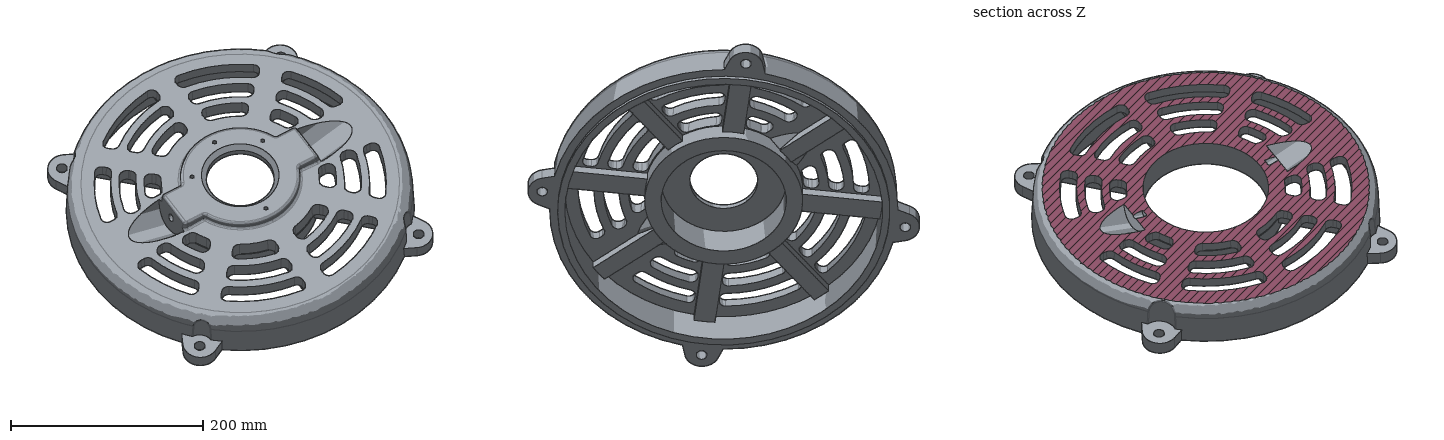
import cadquery as cq
import math

total_height = 64.6
spigot_radius = 172.6
spigot_height = 4.0
base_radius = 181.0
rim_radius = 178.8
rim_height = 49.3
rim_rounding = 15.0
rim_zone = 0.1
cover_slope = 3.9
cover_underside = 39.0
inner_wall_radius = 165.0

boss_radius = 62.2
arm_half_width = 23.0
arm_reach = 100.0
arm_corner_rounding = 3.5
inner_corner_rounding = 3.0
boss_edge_rounding = 3.0
boss_root_rounding = 2.5
end_face_slope = 15.0
cable_hole_diameter = 8.0
cable_hole_depth = 12.0
cable_hole_y = 85.0
cable_hole_z = 52.0

scoop_radius = 25.0
scoop_tilt = 18.0
scoop_tip_y = 135.6
scoop_wall = 5.0

bore_radius = 35.3
bore_chamfer = 5.0
bore_length = 11.4
hub_outer_radius = 82.0
hub_inner_radius = 65.0
hub_bottom = 19.0
rib_bottom = 29.0
axis_rib_half_width = 9.5
diagonal_rib_half_width = 11.0
screw_circle_radius = 50.0
screw_hole_diameter = 4.0
screw_hole_depth = 8.0
screw_angles = (0, 120, 180, 240)

slot_width = 16.2
slot_draft = 3.0
slot_axis_gap = 12.2
slot_diagonal_gap = 12.9
slot_corner_rounding = 6.2
slot_rings = (
    (83.0, 30.2, 6.2),
    (109.0, 25.6, 7.2),
    (135.0, 30.2, 6.2),
)

lug_circle_radius = 190.0
lug_hole_diameter = 11.0
lug_end_centre = 186.5
lug_end_radius = 18.2
lug_flare = 18.0
lug_root = 172.0
lug_top = 18.6
driver_recess_radii = {45: 15.0, 135: 18.0, 225: 14.0, 315: 14.0}
recess_edge_rounding = 1.5


def cover_height(radius):
    """Height of the conical cover at a radius."""
    rise = math.tan(math.radians(cover_slope))
    return rim_height + (rim_radius - radius) * rise


def cylinder(radius, bottom, top):
    return cq.Workplane("XY").workplane(offset=bottom).circle(radius).extrude(top - bottom)


def bar(x0, x1, y0, y1, z0, z1):
    return cq.Workplane("XY").box(x1 - x0, y1 - y0, z1 - z0, centered=False).translate((x0, y0, z0))


def at_angle(shape, angle):
    return shape.rotate((0, 0, 0), (0, 0, 1), angle)


def make_dome():
    dome = (
        cq.Workplane("XZ")
        .polyline([
            (0, 0),
            (spigot_radius, 0),
            (spigot_radius, spigot_height),
            (base_radius, spigot_height),
            (rim_radius, rim_height),
            (0, cover_height(0)),
        ])
        .close()
        .revolve(360, (0, 0, 0), (0, 1, 0))
    )
    rim = cq.selectors.BoxSelector(
        (-base_radius, -base_radius, rim_height - rim_zone),
        (base_radius, base_radius, rim_height + rim_zone),
        boundingbox=True,
    )
    return dome.edges(rim).fillet(rim_rounding)


def make_scoop_cylinder(radius):
    """Tilted cylinder on the +Y side, sinking toward the centre."""
    tilt = math.radians(scoop_tilt)
    axis = cq.Vector(0, math.cos(tilt), math.sin(tilt))
    above_tip = cq.Vector(0, scoop_tip_y, cover_height(scoop_tip_y) + scoop_radius / math.cos(tilt))
    start = above_tip - axis * scoop_tip_y
    return cq.Workplane(cq.Solid.makeCylinder(radius, 2 * scoop_tip_y, start, axis))


def make_scoop():
    """Cutter for one scoop, ending on the arm end face with a rounded edge."""
    cutter = make_scoop_cylinder(scoop_radius).cut(make_arms(2 * scoop_radius, 3 * total_height))
    return cutter.faces("<Y").edges().fillet(boss_root_rounding)


def end_face_y(z):
    """Distance of the sloping arm end face from the XZ plane at a height."""
    return cable_hole_y + (cable_hole_z - z) * math.tan(math.radians(end_face_slope))


def make_arms(half_width, top):
    return (
        cq.Workplane("YZ")
        .polyline([
            (-end_face_y(hub_bottom), hub_bottom),
            (end_face_y(hub_bottom), hub_bottom),
            (end_face_y(top), top),
            (-end_face_y(top), top),
        ])
        .close()
        .extrude(half_width, both=True)
    )


def make_boss():
    """Round boss with its two arms, reaching down into the cover."""
    arms = make_arms(arm_half_width, total_height).edges("not (#Z or |X)").fillet(arm_corner_rounding)
    boss = cylinder(boss_radius, hub_bottom, total_height).union(arms)
    return boss.edges("|Z and (not >X)").fillet(inner_corner_rounding)


def add_boss(dome):
    """Boss standing on the cover, with rounded root and rounded top edge."""
    joined = dome.union(make_boss())
    root_zone = cq.selectors.BoxSelector(
        (-arm_reach, -arm_reach, cover_height(arm_reach)),
        (arm_reach, arm_reach, cover_height(0)),
        boundingbox=True,
    )
    joined = joined.edges(root_zone).fillet(boss_root_rounding)
    return joined.faces(">Z").edges().fillet(boss_edge_rounding)


def cut_scoops(shape):
    scoop = make_scoop()
    return shape.cut(scoop).cut(scoop.mirror("XZ"))


def make_lug():
    """Lug on the +X axis, flaring from its round end toward the wall."""
    flare = math.radians(lug_flare)
    tangent_x = lug_end_centre + lug_end_radius * math.sin(flare)
    tangent_y = lug_end_radius * math.cos(flare)
    root_y = tangent_y + (tangent_x - lug_root) * math.tan(flare)
    return (
        cq.Workplane("XY")
        .workplane(offset=spigot_height)
        .moveTo(lug_root, -root_y)
        .lineTo(tangent_x, -tangent_y)
        .threePointArc((lug_end_centre + lug_end_radius, 0), (tangent_x, tangent_y))
        .lineTo(lug_root, root_y)
        .close()
        .extrude(lug_top - spigot_height)
    )


def cut_driver_recesses(shape):
    """Upright round recesses in the wall over each lug, with rounded edges."""
    for angle, radius in driver_recess_radii.items():
        recess = cylinder(radius, lug_top, total_height).translate((lug_circle_radius, 0, 0))
        shape = shape.cut(at_angle(recess, angle))
        x = lug_circle_radius * math.cos(math.radians(angle))
        y = lug_circle_radius * math.sin(math.radians(angle))
        mouth = cq.selectors.BoxSelector(
            (x - 2 * radius, y - 2 * radius, lug_top + recess_edge_rounding),
            (x + 2 * radius, y + 2 * radius, total_height),
        )
        shape = shape.edges(mouth).fillet(recess_edge_rounding)
    return shape


def add_lugs(shape):
    for angle in driver_recess_radii:
        shape = shape.union(at_angle(make_lug(), angle))
    return shape


def drill_lugs(shape):
    hole = cylinder(lug_hole_diameter / 2, 0, lug_top).translate((lug_circle_radius, 0, 0))
    for angle in driver_recess_radii:
        shape = shape.cut(at_angle(hole, angle))
    return shape


def make_cavity():
    """Hollow below the cover, leaving the hub, the ribs and the scoop walls."""
    cavity = cylinder(inner_wall_radius, 0, cover_underside)
    cavity = cavity.cut(cylinder(hub_outer_radius, hub_bottom, cover_underside))
    for angle in range(0, 180, 45):
        half_width = diagonal_rib_half_width if angle % 90 else axis_rib_half_width
        rib = bar(-base_radius, base_radius, -half_width, half_width, rib_bottom, cover_underside)
        cavity = cavity.cut(at_angle(rib, angle))
    scoop_shell = make_scoop_cylinder(scoop_radius + scoop_wall)
    cavity = cavity.cut(scoop_shell).cut(scoop_shell.mirror("XZ"))
    hub_space = cylinder(hub_inner_radius, 0, total_height - bore_length)
    return cavity.union(hub_space)


def make_slot(inner_radius, first_line, second_line, rounding):
    """Arc slot between two end planes, each given as (angle, gap) from a radial line.

    The slot runs anticlockwise from the first line to the second and widens upward.
    """
    straight = cylinder(inner_radius + slot_width, 0, cover_underside)
    straight = straight.cut(cylinder(inner_radius, 0, cover_underside))
    first_angle, first_gap = first_line
    second_angle, second_gap = second_line
    beyond_first = bar(0, base_radius, first_gap, base_radius, 0, cover_underside)
    before_second = bar(0, base_radius, -base_radius, -second_gap, 0, cover_underside)
    straight = straight.intersect(at_angle(beyond_first, first_angle))
    straight = straight.intersect(at_angle(before_second, second_angle))
    straight = straight.edges("|Z").fillet(rounding)
    drafted = straight.faces(">Z").wires().toPending().extrude(
        total_height - cover_underside, combine=False, taper=-slot_draft
    )
    return straight.union(drafted)


def cut_slots(shape):
    for inner_radius, scoop_gap, scoop_slot_rounding in slot_rings:
        diagonal = (45, slot_diagonal_gap)
        side_slot = make_slot(inner_radius, (0, slot_axis_gap), diagonal, slot_corner_rounding)
        scoop_slot = make_slot(inner_radius, diagonal, (90, scoop_gap), scoop_slot_rounding)
        quarter = side_slot.union(scoop_slot)
        half = quarter.union(quarter.mirror("YZ"))
        shape = shape.cut(half).cut(half.mirror("XZ"))
    return shape


def cut_bore(shape):
    bore = cylinder(bore_radius, hub_bottom, total_height)
    mouth = cq.Workplane(cq.Solid.makeCone(
        bore_radius,
        bore_radius + bore_chamfer,
        bore_chamfer,
        cq.Vector(0, 0, total_height - bore_chamfer),
    ))
    return shape.cut(bore).cut(mouth)


def drill_boss(shape):
    screw_hole = cylinder(screw_hole_diameter / 2, total_height - screw_hole_depth, total_height)
    for angle in screw_angles:
        shape = shape.cut(at_angle(screw_hole.translate((screw_circle_radius, 0, 0)), angle))
    slope = math.radians(end_face_slope)
    cable_hole = cq.Workplane(cq.Solid.makeCylinder(
        cable_hole_diameter / 2,
        2 * cable_hole_depth,
        cq.Vector(0, cable_hole_y, cable_hole_z)
        + cq.Vector(0, math.cos(slope), math.sin(slope)) * cable_hole_depth,
        cq.Vector(0, -math.cos(slope), -math.sin(slope)),
    ))
    return shape.cut(cable_hole).cut(cable_hole.mirror("XZ"))


housing = make_dome()
housing = cut_driver_recesses(housing)
housing = add_boss(housing)
housing = cut_scoops(housing)
housing = add_lugs(housing)
housing = housing.cut(make_cavity())
housing = cut_slots(housing)
housing = cut_bore(housing)
housing = drill_boss(housing)
housing = drill_lugs(housing)

result = housing